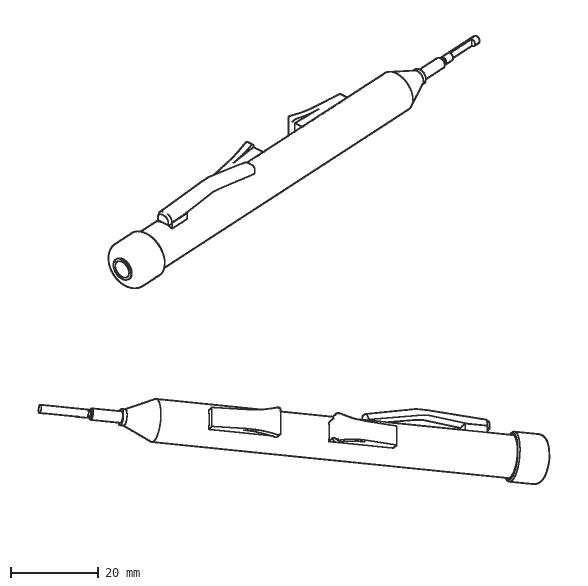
import cadquery as cq
import math

LENGTH = 123.5

BARREL_RADIUS = 10.0 / 2
BARREL_FRONT = 95.9
CONE_FRONT = 103.0
COLLAR_FRONT = 103.9
COLLAR_RADIUS = 3.8 / 2
SLEEVE_FRONT = 111.3
SLEEVE_RADIUS = 1.4
SLEEVE_CHAMFER = 0.2

NECK_RADIUS = 0.55
ROD_REAR = 112.0
ROD_RADIUS = 1.0
NOTCH_REAR = 114.4
NOTCH_FRONT = 121.9

CAP_RADIUS = 5.8
CAP_FRONT = 9.4
CAP_CHAMFER = 0.4
CAP_ROUND_START = 3.5
CAP_FACE_RADIUS = 4.1
CAP_FACE_Y = 1.4
STUD_RADIUS = 2.7
STUD_STEP_RADIUS = 2.1
STUD_BASE_Y = 1.1
STUD_STEP_Y = 0.8
STUD_TOP_RADIUS = 0.7
STUD_TOP_Y = 0.19

BUTTON_LENGTH = 15.7
BUTTON_HALF_WIDTH = 4.6 / 2
FLARE_HALF_WIDTH = 7.2 / 2
FLARE_CORNER = 0.7
BUTTON_NARROW_HEIGHT = 6.9
FLARE_NARROW_UNDERSIDE = 6.2
BUTTON_EDGE_ROUND = 0.6
REAR_BUTTON_NARROW_Y = 39.3
REAR_BUTTON_HEIGHT = 9.5
REAR_BUTTON_UNDERSIDE = 7.7
FRONT_BUTTON_NARROW_Y = 84.1
FRONT_BUTTON_HEIGHT = 8.9
FRONT_BUTTON_UNDERSIDE = 6.9
FRONT_BUTTON_OVERHANG = 0.5

CLIP_HALF_WIDTH = 2.0
CLIP_CORNER_ROUND = 1.4
CLIP_END_INSET = 0.4
CLIP_TIP_BOTTOM = (44.3, 4.8)
CLIP_TIP_TOP = (45.0, 6.4)
CLIP_FRONT_BEND_BOTTOM = (32.1, 7.0)
CLIP_FRONT_BEND_TOP = (32.6, 8.9)
CLIP_REAR_BEND_BOTTOM = (30.0, 7.3)
CLIP_REAR_BEND_TOP = (30.0, 8.9)
CLIP_HEEL_BOTTOM = (15.7, 5.7)
CLIP_HEEL_TOP = (15.7, 8.0)
CLIP_END_BOTTOM = (15.0, 5.7)
CLIP_END_TOP = (15.0, 7.8)
POST_HALF_WIDTH = 2.1
POST_REAR = 15.7
POST_FRONT = 21.0
POST_TOP = 6.2


def turned_body():
    """Cap, barrel, nose, sleeve and rod as one revolved outline of (radius, y)."""
    round_mid = math.sqrt(0.5)
    round_width = CAP_RADIUS - CAP_FACE_RADIUS
    round_depth = CAP_ROUND_START - CAP_FACE_Y
    round_middle = (
        CAP_FACE_RADIUS + round_width * round_mid,
        CAP_ROUND_START - round_depth * round_mid,
    )
    outline = (
        cq.Workplane("XY")
        .moveTo(0, 0)
        .lineTo(STUD_TOP_RADIUS, STUD_TOP_Y)
        .lineTo(STUD_STEP_RADIUS, STUD_STEP_Y)
        .lineTo(STUD_RADIUS, STUD_STEP_Y)
        .lineTo(STUD_RADIUS, STUD_BASE_Y)
        .lineTo(CAP_FACE_RADIUS, CAP_FACE_Y)
        .threePointArc(round_middle, (CAP_RADIUS, CAP_ROUND_START))
        .lineTo(CAP_RADIUS, CAP_FRONT - CAP_CHAMFER)
        .lineTo(CAP_RADIUS - CAP_CHAMFER, CAP_FRONT)
        .lineTo(BARREL_RADIUS, CAP_FRONT)
        .lineTo(BARREL_RADIUS, BARREL_FRONT)
        .lineTo(COLLAR_RADIUS, CONE_FRONT)
        .lineTo(COLLAR_RADIUS, COLLAR_FRONT)
        .lineTo(SLEEVE_RADIUS, COLLAR_FRONT)
        .lineTo(SLEEVE_RADIUS, SLEEVE_FRONT - SLEEVE_CHAMFER)
        .lineTo(SLEEVE_RADIUS - SLEEVE_CHAMFER, SLEEVE_FRONT)
        .lineTo(NECK_RADIUS, SLEEVE_FRONT)
        .lineTo(NECK_RADIUS, ROD_REAR)
        .lineTo(ROD_RADIUS, ROD_REAR)
        .lineTo(ROD_RADIUS, LENGTH)
        .lineTo(0, LENGTH)
        .close()
    )
    return outline.revolve(360, (0, 0, 0), (0, 1, 0))


def rod_notch():
    """Box that removes the +X half of the rod between its two lands."""
    return cq.Workplane("XY").box(
        ROD_RADIUS * 2, NOTCH_FRONT - NOTCH_REAR, ROD_RADIUS * 4, centered=(False, False, True)
    ).translate((0, NOTCH_REAR, 0))


def flare_footprint(flare_end, height):
    """Button outline in Y and Z: straight sides that curve outward to the wide end."""
    straight = BUTTON_LENGTH / 2
    run = flare_end - straight
    rise = FLARE_HALF_WIDTH - BUTTON_HALF_WIDTH
    radius = (run**2 + rise**2) / (2 * rise)
    half_angle = math.asin(run / radius) / 2
    middle_y = straight + radius * math.sin(half_angle)
    middle_z = BUTTON_HALF_WIDTH + radius * (1 - math.cos(half_angle))
    return (
        cq.Workplane("YZ")
        .moveTo(0, -BUTTON_HALF_WIDTH)
        .lineTo(0, BUTTON_HALF_WIDTH)
        .lineTo(straight, BUTTON_HALF_WIDTH)
        .threePointArc((middle_y, middle_z), (flare_end, FLARE_HALF_WIDTH))
        .lineTo(flare_end, -FLARE_HALF_WIDTH)
        .threePointArc((middle_y, -middle_z), (straight, -BUTTON_HALF_WIDTH))
        .close()
        .extrude(-height)
        .faces(">Y")
        .edges("|X")
        .fillet(FLARE_CORNER)
    )


def slide_button(wide_height, flare_underside, overhang):
    """Wedge rising along +Y from y = 0, topped by a layer that flares at the wide end."""
    pedestal = (
        cq.Workplane("XY")
        .polyline([
            (0, 0),
            (0, BUTTON_LENGTH),
            (-flare_underside, BUTTON_LENGTH),
            (-FLARE_NARROW_UNDERSIDE, 0),
        ])
        .close()
        .extrude(BUTTON_HALF_WIDTH, both=True)
    )
    flare_end = BUTTON_LENGTH + overhang
    outer_middle = (-(BUTTON_NARROW_HEIGHT + wide_height) / 2, flare_end / 2, 0)
    layer = (
        cq.Workplane("XY")
        .polyline([
            (-FLARE_NARROW_UNDERSIDE, 0),
            (-flare_underside, flare_end),
            (-wide_height, flare_end),
            (-BUTTON_NARROW_HEIGHT, 0),
        ])
        .close()
        .extrude(FLARE_HALF_WIDTH, both=True)
        .faces(cq.NearestToPointSelector(outer_middle))
        .edges("not >X")
        .fillet(BUTTON_EDGE_ROUND)
    )
    if overhang > 0:
        lip = cq.NearestToPointSelector((-flare_underside, flare_end, 0))
        layer = layer.edges(lip).fillet(overhang)
    return pedestal.union(layer.intersect(flare_footprint(flare_end, wide_height)))


def clip_section(bottom, top, inset=0.0):
    """Clip section with round upper corners; bottom and top are its (y, z) ends at mid width."""
    half_width = CLIP_HALF_WIDTH - inset
    base = cq.Vector(0, *bottom)
    rise = cq.Vector(0, *top) - base
    height = rise.Length
    shoulder = height - CLIP_CORNER_ROUND
    flat = half_width - CLIP_CORNER_ROUND
    diagonal = CLIP_CORNER_ROUND * math.sqrt(0.5)

    def point(x, up):
        return cq.Vector(x, 0, 0) + base + rise * (up / height)

    def corner(side):
        return cq.Edge.makeThreePointArc(
            point(side * half_width, shoulder),
            point(side * (flat + diagonal), shoulder + diagonal),
            point(side * flat, height),
        )

    return cq.Wire.assembleEdges([
        cq.Edge.makeLine(point(-half_width, 0), point(half_width, 0)),
        cq.Edge.makeLine(point(half_width, 0), point(half_width, shoulder)),
        corner(1),
        cq.Edge.makeLine(point(flat, height), point(-flat, height)),
        corner(-1),
        cq.Edge.makeLine(point(-half_width, shoulder), point(-half_width, 0)),
    ])


def pocket_clip():
    """Bent clip, rising from its free end on the barrel and falling to the post near the cap."""
    sections = [
        clip_section(CLIP_TIP_BOTTOM, CLIP_TIP_TOP),
        clip_section(CLIP_FRONT_BEND_BOTTOM, CLIP_FRONT_BEND_TOP),
        clip_section(CLIP_REAR_BEND_BOTTOM, CLIP_REAR_BEND_TOP),
        clip_section(CLIP_HEEL_BOTTOM, CLIP_HEEL_TOP),
        clip_section(CLIP_END_BOTTOM, CLIP_END_TOP, CLIP_END_INSET),
    ]
    blade = cq.Workplane("XY").newObject([cq.Solid.makeLoft(sections, True)])
    post = cq.Workplane("XY").box(
        POST_HALF_WIDTH * 2, POST_FRONT - POST_REAR, POST_TOP, centered=(True, False, False)
    ).translate((0, POST_REAR, 0))
    return blade.union(post)


rear_button = slide_button(REAR_BUTTON_HEIGHT, REAR_BUTTON_UNDERSIDE, 0.0)
front_button = slide_button(FRONT_BUTTON_HEIGHT, FRONT_BUTTON_UNDERSIDE, FRONT_BUTTON_OVERHANG)

result = (
    turned_body()
    .cut(rod_notch())
    .union(rear_button.translate((0, REAR_BUTTON_NARROW_Y, 0)))
    .union(front_button.mirror("XZ").translate((0, FRONT_BUTTON_NARROW_Y, 0)))
    .union(pocket_clip())
)